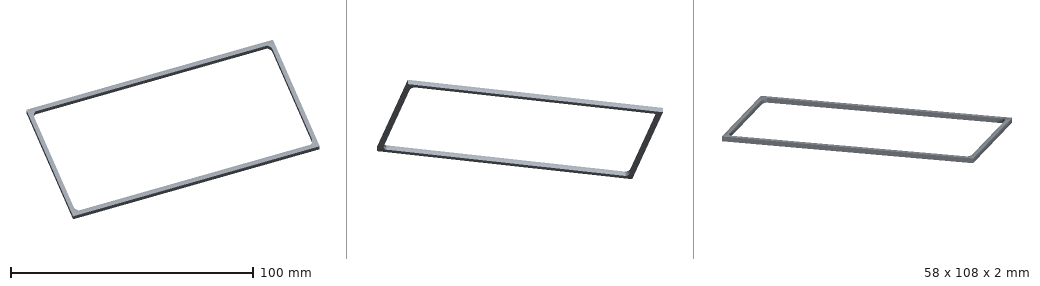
import cadquery as cq

width = 58.0
length = 108.0
thickness = 2.0

side_rim = 2.0
end_rim = 1.8

corner_radius = 3.0
side_trim = 0.4

opening_width = width - 2 * side_rim
opening_length = length - 2 * end_rim

plate = cq.Workplane("XY").box(width, length, thickness)

rounded_block = (
    cq.Workplane("XY")
    .box(opening_width + 2 * side_trim, opening_length, thickness)
    .edges("|Z")
    .fillet(corner_radius)
)
side_limits = cq.Workplane("XY").box(opening_width, length, thickness)
opening = rounded_block.intersect(side_limits)

result = plate.cut(opening)